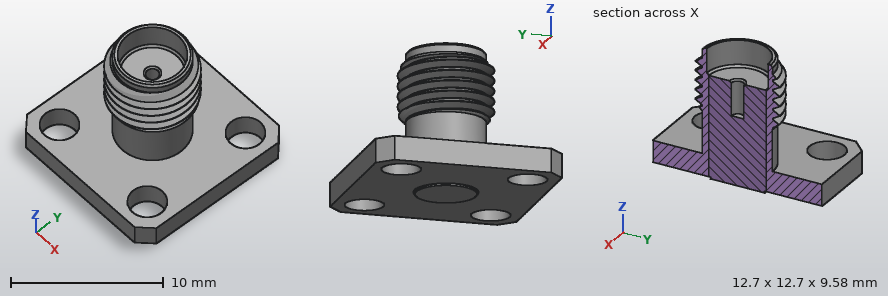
import cadquery as cq

flange_side = 12.7
flange_thickness = 1.64
corner_chamfer = 1.02
mount_hole_diameter = 2.6
mount_hole_spacing = 8.61

barrel_diameter = 5.3
barrel_top = 9.45
rim_chamfer = 0.15
mouth_diameter = 4.57
mouth_depth = 1.79

thread_diameter = 6.35
thread_pitch = thread_diameter / 9
thread_length = 4.09
thread_top_gap = 0.64
thread_crest_width = 0.05
thread_root_gap = 0.01
thread_lead_in = 0.46
thread_turns = 7.5
ridge_overlap = 0.03
sleeve_margin = 0.13
thread_bottom = barrel_top - thread_top_gap - thread_length

insert_diameter = 4.27
foot_diameter = 4.08
foot_height = 0.13
step_height = (mouth_diameter - insert_diameter) / 2
insert_top = barrel_top - mouth_depth - step_height
socket_diameter = 0.91
socket_mouth_diameter = 1.17
socket_depth = 2.54


def make_flange():
    """Square plate with chamfered corners and four mounting holes."""
    plate = cq.Workplane("XY").rect(flange_side, flange_side).extrude(flange_thickness)
    plate = plate.edges("|Z").chamfer(corner_chamfer)
    holes = (
        cq.Workplane("XY")
        .rect(mount_hole_spacing, mount_hole_spacing, forConstruction=True)
        .vertices()
        .circle(mount_hole_diameter / 2)
        .extrude(flange_thickness)
    )
    return plate.cut(holes)


def make_barrel():
    """Solid cylinder with a chamfered rim, before it is bored."""
    return (
        cq.Workplane("XY")
        .circle(barrel_diameter / 2)
        .extrude(barrel_top)
        .faces(">Z")
        .edges()
        .chamfer(rim_chamfer)
    )


def make_thread():
    """Threaded sleeve: a rod with a helical ridge, its ends trimmed to 45 degree cones."""
    base_radius = barrel_diameter / 2 - ridge_overlap
    crest_radius = thread_diameter / 2
    half_base = (thread_pitch - thread_root_gap) / 2
    half_crest = thread_crest_width / 2
    sleeve_radius = crest_radius + sleeve_margin
    start = thread_bottom - thread_lead_in

    path = cq.Wire.makeHelix(
        thread_pitch, thread_pitch * thread_turns, base_radius, cq.Vector(0, 0, start)
    )
    ridge = (
        cq.Workplane("XZ")
        .moveTo(base_radius, start - half_base)
        .lineTo(crest_radius, start - half_crest)
        .lineTo(crest_radius, start + half_crest)
        .lineTo(base_radius, start + half_base)
        .close()
        .sweep(path, isFrenet=True)
    )
    envelope = (
        cq.Workplane("XY")
        .workplane(offset=thread_bottom - ridge_overlap)
        .circle(sleeve_radius)
        .extrude(thread_length + 2 * ridge_overlap)
        .edges()
        .chamfer(sleeve_radius - base_radius)
    )
    rod = (
        cq.Workplane("XY")
        .workplane(offset=start - thread_pitch)
        .circle(barrel_diameter / 2)
        .extrude(thread_pitch * (thread_turns + 2))
    )
    return rod.union(ridge).intersect(envelope)


def make_bore():
    """Space inside the housing: core bore, conical step and open mouth."""
    step_top = insert_top + step_height
    return (
        cq.Workplane("XZ")
        .lineTo(insert_diameter / 2, 0)
        .lineTo(insert_diameter / 2, insert_top)
        .lineTo(mouth_diameter / 2, step_top)
        .lineTo(mouth_diameter / 2, barrel_top)
        .lineTo(0, barrel_top)
        .close()
        .revolve(360, (0, 0, 0), (0, 1, 0))
    )


def make_housing():
    """Flange, barrel and thread as one bored solid."""
    return make_flange().union(make_barrel()).union(make_thread()).cut(make_bore())


def make_insert():
    """Core with a narrower foot below the flange and a countersunk blind socket."""
    core = (
        cq.Workplane("XY")
        .circle(insert_diameter / 2)
        .extrude(insert_top)
        .faces("<Z")
        .workplane()
        .circle(foot_diameter / 2)
        .extrude(foot_height)
    )
    countersink = (socket_mouth_diameter - socket_diameter) / 2
    socket = (
        cq.Workplane("XZ")
        .moveTo(0, insert_top)
        .lineTo(socket_mouth_diameter / 2, insert_top)
        .lineTo(socket_diameter / 2, insert_top - countersink)
        .lineTo(socket_diameter / 2, insert_top - socket_depth)
        .lineTo(0, insert_top - socket_depth)
        .close()
        .revolve(360, (0, 0, 0), (0, 1, 0))
    )
    return core.cut(socket)


housing = make_housing()
insert = make_insert()
result = cq.Compound.makeCompound([housing.val(), insert.val()])